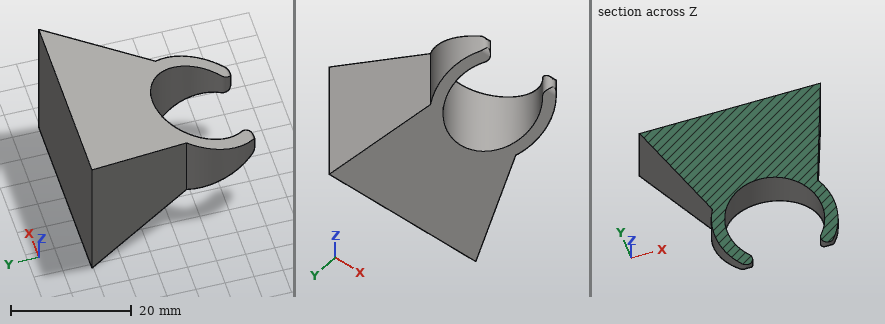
import cadquery as cq
import math

base_width = 31.65
base_height = 25.23
total_depth = 30.5
taper_angle = 20.0
bore_radius = 8.23
outer_radius = 10.5
tip_offset = 7.1
nose_radius = 1.15

taper = math.tan(math.radians(taper_angle))
tip_radius = (outer_radius - bore_radius) / 2
middle_radius = (outer_radius + bore_radius) / 2
tip_y = -math.sqrt(middle_radius**2 - tip_offset**2)
front_y = tip_y - tip_radius
back_y = front_y + total_depth
front_half_width = base_width / 2 - back_y * taper
front_half_height = base_height / 2 - total_depth * taper


def plan_extrusion(plan):
    """Extrude a plan outline through the full height, centred on Z = 0."""
    return plan.extrude(base_height / 2, both=True)


def disc(radius, x=0, y=0):
    return plan_extrusion(cq.Workplane("XY").center(x, y).circle(radius))


def make_base():
    """Tapered block reaching from the back face to the bore axis."""
    return plan_extrusion(
        cq.Workplane("XY").polyline([
            (-base_width / 2, back_y),
            (base_width / 2, back_y),
            (front_half_width, 0),
            (-front_half_width, 0),
        ]).close()
    )


def make_mouth():
    """Wedge between the two tip centres, open towards the front."""
    reach = 2
    return plan_extrusion(
        cq.Workplane("XY").polyline([
            (0, 0),
            (-reach * tip_offset, reach * tip_y),
            (reach * tip_offset, reach * tip_y),
        ]).close()
    )


def make_height_envelope():
    """Wedge that thins towards the front and has a rounded nose."""
    wedge = (
        cq.Workplane("YZ")
        .polyline([
            (back_y, -base_height / 2),
            (back_y, base_height / 2),
            (front_y, front_half_height),
            (front_y, -front_half_height),
        ]).close()
        .extrude(base_width / 2, both=True)
    )
    return wedge.faces("<Y").edges("|X").fillet(nose_radius)


clip = make_base().union(disc(outer_radius)).cut(disc(bore_radius)).cut(make_mouth())
for side in (-1, 1):
    clip = clip.union(disc(tip_radius, side * tip_offset, tip_y))

result = clip.intersect(make_height_envelope())